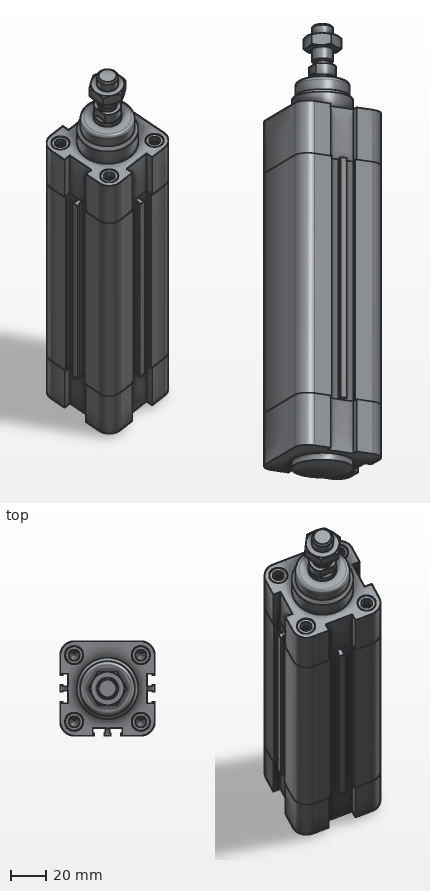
import cadquery as cq
import math

total_length = 263.0
rear_boss_height = 4.0
cap_length = 31.0
tube_length = 142.5
rear_cap_bottom = rear_boss_height
tube_bottom = rear_cap_bottom + cap_length
tube_top = tube_bottom + tube_length
front_cap_top = tube_top + cap_length

section_width = 54.0
half_width = section_width / 2
corner_radius = 8.5

slot_depth = 4.5
cap_slot_width = 16.5
tube_mouth_width = 15.0
mouth_lip_depth = 1.5
rib_head_width = 4.0
rib_stem_width = 2.5
slot_angles = (-90, 0, 90)

screw_spacing = 38.0
screw_recess_diameter = 10.5
screw_recess_floor_diameter = 10.0
screw_recess_depth = 0.3
thread_hole_diameter = 6.3
thread_hole_depth = 15.8
drill_point_angle = 118.0

boss_diameter = 35.0
collar_diameter = 31.0
boss_top = 218.8
collar_top = 229.0
collar_top_radius = 2.0
shoulder_height = 2.0

rod_diameter = 16.0
rod_shoulder_top = 232.0
wrench_diameter = 15.5
wrench_flat_width = 13.0
wrench_flat_bottom = 233.5
wrench_top = 238.8
neck_diameter = 10.8
neck_top = 241.2
thread_diameter = 12.0
thread_chamfer = 1.0

nut_bottom = 249.0
nut_height = 7.0
nut_sides = 6
nut_flat_width = 19.0
nut_chamfer_angle = 30.0


def square_bar(bottom, length):
    return (
        cq.Workplane("XY")
        .workplane(offset=bottom)
        .rect(section_width, section_width)
        .extrude(length)
        .edges("|Z")
        .fillet(corner_radius)
    )


def side_block(width, outer_depth, inner_depth, bottom, length):
    """Block on the -Y side, between two depths below the outer face."""
    return (
        cq.Workplane("XY")
        .box(width, inner_depth - outer_depth, length, centered=(True, False, False))
        .translate((0, -half_width + outer_depth, bottom))
    )


def cut_on_slotted_sides(body, cutter):
    for angle in slot_angles:
        body = body.cut(cutter.rotate((0, 0, 0), (0, 0, 1), angle))
    return body


def cap_block(bottom):
    slot = side_block(cap_slot_width, 0, slot_depth, bottom, cap_length)
    return cut_on_slotted_sides(square_bar(bottom, cap_length), slot)


def disc(diameter, bottom, top):
    return cq.Workplane("XY").workplane(offset=bottom).circle(diameter / 2).extrude(top - bottom)


def make_tube():
    mouth = side_block(tube_mouth_width, 0, mouth_lip_depth, tube_bottom, tube_length)
    groove = side_block(cap_slot_width, mouth_lip_depth, slot_depth, tube_bottom, tube_length)
    rib_head = side_block(rib_head_width, 0, mouth_lip_depth, tube_bottom, tube_length)
    rib_stem = side_block(rib_stem_width, mouth_lip_depth, slot_depth, tube_bottom, tube_length)
    slot = mouth.union(groove).cut(rib_head).cut(rib_stem)
    return cut_on_slotted_sides(square_bar(tube_bottom, tube_length), slot)


def screw_hole():
    """Shallow tapered recess and blind hole with a drill point, as one revolved cutter."""
    recess_radius = screw_recess_diameter / 2
    floor_radius = screw_recess_floor_diameter / 2
    hole_radius = thread_hole_diameter / 2
    recess_floor = front_cap_top - screw_recess_depth
    hole_end = front_cap_top - thread_hole_depth
    drill_tip = hole_end - hole_radius / math.tan(math.radians(drill_point_angle / 2))
    return (
        cq.Workplane("XZ")
        .moveTo(0, front_cap_top)
        .lineTo(recess_radius, front_cap_top)
        .lineTo(floor_radius, recess_floor)
        .lineTo(hole_radius, recess_floor)
        .lineTo(hole_radius, hole_end)
        .lineTo(0, drill_tip)
        .close()
        .revolve(360, (0, 0, 0), (0, 1, 0))
    )


def make_front_cap():
    shoulder_radial_width = (boss_diameter - collar_diameter) / 2
    shoulder = (
        disc(boss_diameter, front_cap_top, boss_top + shoulder_height)
        .faces(">Z")
        .chamfer(shoulder_height, shoulder_radial_width)
    )
    collar = disc(collar_diameter, front_cap_top, collar_top).faces(">Z").edges().fillet(collar_top_radius)
    cap = cap_block(tube_top).union(shoulder).union(collar)
    cutter = screw_hole()
    for x in (-screw_spacing / 2, screw_spacing / 2):
        for y in (-screw_spacing / 2, screw_spacing / 2):
            cap = cap.cut(cutter.translate((x, y, 0)))
    return cap.cut(disc(rod_diameter, tube_top, collar_top))


def make_rear_cap():
    return cap_block(rear_cap_bottom).union(disc(boss_diameter, 0, rear_cap_bottom))


def make_rod():
    flats = cq.Workplane("XY").box(rod_diameter, wrench_flat_width, 2 * total_length)
    wrench_part = disc(wrench_diameter, rod_shoulder_top, wrench_top).intersect(flats)
    foot_height = wrench_flat_bottom - rod_shoulder_top
    shank = (
        disc(rod_diameter, tube_top, wrench_flat_bottom)
        .faces(">Z")
        .chamfer(foot_height, (rod_diameter - wrench_flat_width) / 2)
    )
    neck = disc(neck_diameter, wrench_top, neck_top)
    thread = disc(thread_diameter, neck_top, total_length).faces("<Z or >Z").chamfer(thread_chamfer)
    return shank.union(wrench_part).union(neck).union(thread)


def make_nut():
    corner_diameter = nut_flat_width / math.cos(math.pi / nut_sides)
    hexagon = (
        cq.Workplane("XY")
        .workplane(offset=nut_bottom)
        .polygon(nut_sides, corner_diameter)
        .extrude(nut_height)
    )
    chamfer_width = (corner_diameter - nut_flat_width) / 2
    chamfer_height = chamfer_width * math.tan(math.radians(nut_chamfer_angle))
    envelope = (
        disc(corner_diameter, nut_bottom, nut_bottom + nut_height)
        .faces("<Z or >Z")
        .chamfer(chamfer_height, chamfer_width)
    )
    bore = disc(thread_diameter, nut_bottom, nut_bottom + nut_height)
    return hexagon.intersect(envelope).cut(bore)


tube = make_tube()
front_cap = make_front_cap()
rear_cap = make_rear_cap()
rod = make_rod()
nut = make_nut()

result = cq.Compound.makeCompound([tube.val(), front_cap.val(), rear_cap.val(), rod.val(), nut.val()])